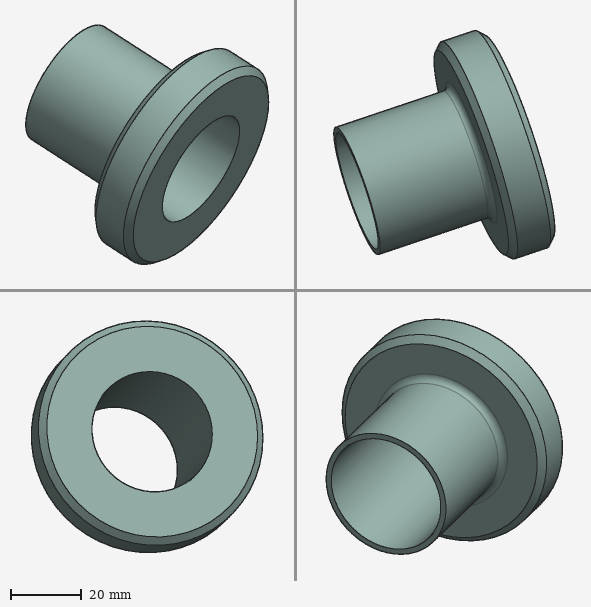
import cadquery as cq

overall_length = 48.5
bore_diameter = 34.8
tube_diameter = 38.1
flange_diameter = 65.0
flange_thickness = 14.0
flange_chamfer = 2.0
root_fillet_radius = 2.0

tube_length = overall_length - flange_thickness


def make_tube():
    """Outer cylinder of the sleeve, running the full length."""
    return cq.Workplane("YZ").circle(tube_diameter / 2).extrude(overall_length)


def make_flange():
    """Disc at the +X end, chamfered on both rims."""
    disc = cq.Workplane("YZ", origin=(tube_length, 0, 0)).circle(flange_diameter / 2)
    return disc.extrude(flange_thickness).faces("<X or >X").edges().chamfer(flange_chamfer)


def fillet_root(body):
    """Round the inner corner where the tube meets the flange."""
    root_corner = cq.selectors.RadiusNthSelector(0)
    flange_face = body.faces(cq.selectors.NearestToPointSelector((tube_length, 0, 0)))
    return flange_face.edges(root_corner).fillet(root_fillet_radius)


def cut_bore(body):
    """Plain bore through the whole sleeve."""
    bore = cq.Workplane("YZ").circle(bore_diameter / 2).extrude(overall_length)
    return body.cut(bore)


result = cut_bore(fillet_root(make_tube().union(make_flange())))